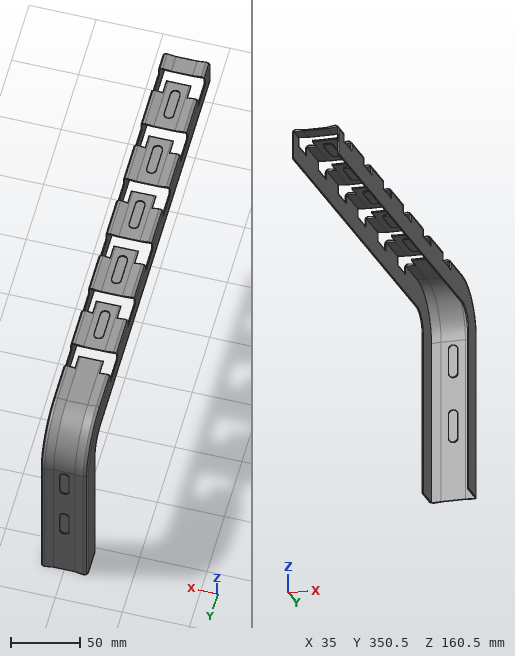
import cadquery as cq
import math

width = 35.0
length = 350.5
height = 160.5

channel_depth = 22.0
sheet = 0.98
corner_radius = 3.0
inner_corner_drop = 1.5
strip_width = 15.8
strip_inner_width = 18.2
strip_drop = 0.98

bend_radius = 37.5
bend_y = length / 2 - bend_radius
bend_z = height - bend_radius
arm_length = length - bend_radius
leg_length = bend_z

pitch = 50.0
notch_count = 6
notch_start_y = 108.7
notch_length = 20.0
notch_depth = 8.0
tongue_length = 11.0
tongue_width = strip_inner_width

dimple_length = 25.0
dimple_width = 7.0
dimple_recess = 0.42
dimple_bulge = 0.85
dimple_offset = 8.0
leg_dimple_drop = 53.3
leg_dimple_count = 2


def section(plane_name):
    """Channel section drawn from the bend centre, with its web facing outwards."""
    free_edge = bend_radius - channel_depth
    half = width / 2
    inner_half = half - sheet
    shoulder_half = half - corner_radius
    round_start = bend_radius - corner_radius
    round_inset = corner_radius * (1 - math.sqrt(0.5))
    round_x = half - round_inset
    round_y = bend_radius - round_inset
    strip_outer = bend_radius - strip_drop
    strip_inner = strip_outer - sheet
    inner_corner = bend_radius - inner_corner_drop

    return (
        cq.Workplane(plane_name, origin=(0, bend_y, bend_z))
        .moveTo(-half, free_edge)
        .lineTo(-half, round_start)
        .threePointArc((-round_x, round_y), (-shoulder_half, bend_radius))
        .lineTo(-strip_width / 2, strip_outer)
        .lineTo(strip_width / 2, strip_outer)
        .lineTo(shoulder_half, bend_radius)
        .threePointArc((round_x, round_y), (half, round_start))
        .lineTo(half, free_edge)
        .lineTo(inner_half, free_edge)
        .lineTo(inner_half, inner_corner)
        .lineTo(strip_inner_width / 2, strip_inner)
        .lineTo(-strip_inner_width / 2, strip_inner)
        .lineTo(-inner_half, inner_corner)
        .lineTo(-inner_half, free_edge)
        .close()
    )


def bent_channel():
    arm = section("XZ").extrude(arm_length)
    leg = section("XY").extrude(-leg_length)
    bend = section("XZ").revolve(90, (0, 0), (-1, 0))
    return arm.union(bend).union(leg)


def notch(start_y):
    """Cutter running from start_y towards -Y, open around the tongue."""
    def block(size_x, size_y):
        return (
            cq.Workplane("XY", origin=(0, start_y - size_y / 2, height - notch_depth))
            .rect(size_x, size_y)
            .extrude(notch_depth)
        )

    return block(width, notch_length).cut(block(tongue_width, tongue_length))


def dimple(body, face):
    """Press an obround dimple inwards; face is a plane on the strip's outer face."""
    def obround(offset, depth):
        return (
            cq.Workplane(face)
            .workplane(offset=offset)
            .slot2D(dimple_length, dimple_width, 90)
            .extrude(-depth)
        )

    pad = obround(-sheet, dimple_bulge)
    pocket = obround(0, dimple_recess)
    return body.union(pad).cut(pocket)


result = bent_channel()

for index in range(notch_count):
    result = result.cut(notch(notch_start_y - index * pitch))

for index in range(1, notch_count):
    center_y = notch_start_y - index * pitch + dimple_offset
    top_face = cq.Plane(origin=(0, center_y, height - strip_drop), xDir=(1, 0, 0), normal=(0, 0, 1))
    result = dimple(result, top_face)

for index in range(leg_dimple_count):
    center_z = height - leg_dimple_drop - index * pitch
    back_face = cq.Plane(
        origin=(0, length / 2 - strip_drop, center_z), xDir=(-1, 0, 0), normal=(0, 1, 0)
    )
    result = dimple(result, back_face)